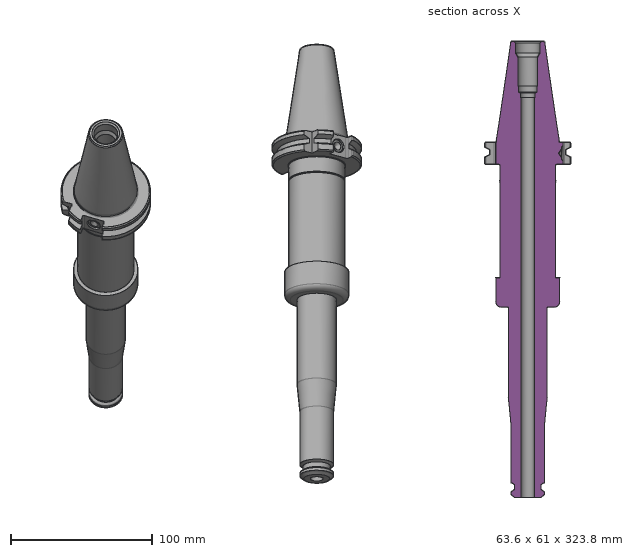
import cadquery as cq
import math


gauge_diameter = 44.45
taper_length = 68.4
taper_ratio = 7 / 24
taper_end_diameter = gauge_diameter - taper_length * taper_ratio
taper_end_chamfer = 0.8
taper_base_z = -1.0
taper_base_diameter = gauge_diameter - taper_base_z * taper_ratio
root_fillet = 0.6

flange_diameter = 63.55
flange_top_z = -3.2
flange_bottom_z = -19.1
flange_chamfer = 0.9
groove_floor_diameter = 56.25
groove_top_z = -6.7
groove_bottom_z = -14.0
groove_wall_height = 2.0

slot_width = 16.1
front_slot_floor = 25.0
rear_slot_floor = 22.8
slot_floor_fillet = 1.0
slot_rim_fillet = 0.75
notch_offset = 18.6

pocket_diameter = 10.0
pocket_inner_diameter = 9.0
pocket_depth = 1.0
pocket_hole_diameter = 6.0
pocket_cone_depth = 2.0
pocket_z = (flange_top_z + flange_bottom_z) / 2

neck_diameter = 40.0
neck_root_chamfer = 0.5
neck_line_z = -31.0
neck_line_width = 1.0
neck_line_depth = 0.25
collar_diameter = 45.6
collar_top_z = -99.4
collar_bottom_z = -120.4
collar_fillet = 4.0

shaft_diameter = 28.0
shaft_end_z = -184.4
tail_diameter = 24.0
tail_start_z = -204.8

total_length = 323.75
tip_z = taper_length - total_length
tip_groove_diameter = 19.5
tip_groove_top_z = -244.8
tip_groove_bottom_z = -250.8
tip_groove_bevel = 1.2
lip_edge_chamfer = 0.4
lip_bottom_z = -253.2
tip_diameter = 18.5

through_diameter = 9.0
coolant_diameter = 10.0
relief_diameter = 13.0
relief_depth = 36.0
drill_tip_half_angle = math.radians(59)
relief_tip_depth = (relief_diameter - coolant_diameter) / 2 / math.tan(drill_tip_half_angle)
thread_diameter = 13.84
thread_depth = 32.0
coolant_depth = 40.0
counterbore_diameter = 17.0
counterbore_depth = 8.6
mouth_diameter = 19.5
mouth_depth = (mouth_diameter - counterbore_diameter) / 2
seat_half_angle = math.radians(30)
seat_depth = (counterbore_diameter - thread_diameter) / 2 / math.tan(seat_half_angle)


def make_body():
    """Revolve the outer profile of the holder, from the taper end down to the tip."""
    taper_end_radius = taper_end_diameter / 2
    base_radius = taper_base_diameter / 2
    flange_radius = flange_diameter / 2
    groove_radius = groove_floor_diameter / 2
    neck_radius = neck_diameter / 2
    collar_radius = collar_diameter / 2
    shaft_radius = shaft_diameter / 2
    tail_radius = tail_diameter / 2
    tip_groove_radius = tip_groove_diameter / 2
    arc_reach = collar_fillet * math.sqrt(0.5)
    arc_middle = (
        collar_radius - collar_fillet + arc_reach,
        collar_bottom_z + collar_fillet - arc_reach,
    )

    profile = (
        cq.Workplane("XZ")
        .moveTo(0, taper_length)
        .lineTo(taper_end_radius - taper_end_chamfer, taper_length)
        .lineTo(taper_end_radius, taper_length - taper_end_chamfer)
        .lineTo(base_radius, taper_base_z)
        .lineTo(base_radius, flange_top_z + root_fillet)
        .radiusArc((base_radius + root_fillet, flange_top_z), -root_fillet)
        .lineTo(flange_radius - flange_chamfer, flange_top_z)
        .lineTo(flange_radius, flange_top_z - flange_chamfer)
        .lineTo(flange_radius, groove_top_z)
        .lineTo(groove_radius, groove_top_z - groove_wall_height)
        .lineTo(groove_radius, groove_bottom_z + groove_wall_height)
        .lineTo(flange_radius, groove_bottom_z)
        .lineTo(flange_radius, flange_bottom_z + flange_chamfer)
        .lineTo(flange_radius - flange_chamfer, flange_bottom_z)
        .lineTo(neck_radius + neck_root_chamfer, flange_bottom_z)
        .lineTo(neck_radius, flange_bottom_z - neck_root_chamfer)
        .lineTo(neck_radius, neck_line_z + neck_line_width / 2)
        .lineTo(neck_radius - neck_line_depth, neck_line_z)
        .lineTo(neck_radius, neck_line_z - neck_line_width / 2)
        .lineTo(neck_radius, collar_top_z)
        .lineTo(collar_radius, collar_top_z)
        .lineTo(collar_radius, collar_bottom_z + collar_fillet)
        .threePointArc(arc_middle, (collar_radius - collar_fillet, collar_bottom_z))
        .lineTo(shaft_radius, collar_bottom_z)
        .lineTo(shaft_radius, shaft_end_z)
        .lineTo(tail_radius, tail_start_z)
        .lineTo(tail_radius, tip_groove_top_z)
        .lineTo(tip_groove_radius, tip_groove_top_z - tip_groove_bevel)
        .lineTo(tip_groove_radius, tip_groove_bottom_z + tip_groove_bevel)
        .lineTo(tail_radius - lip_edge_chamfer, tip_groove_bottom_z)
        .lineTo(tail_radius, tip_groove_bottom_z - lip_edge_chamfer)
        .lineTo(tail_radius, lip_bottom_z)
        .lineTo(tail_radius - lip_edge_chamfer, lip_bottom_z - lip_edge_chamfer)
        .lineTo(tip_diameter / 2, tip_z)
        .lineTo(0, tip_z)
        .close()
    )
    return profile.revolve(360, (0, 0, 0), (0, 1, 0))


def make_bore():
    """Revolve the stepped central bore, open at both ends."""
    counterbore_radius = counterbore_diameter / 2
    profile = (
        cq.Workplane("XZ")
        .moveTo(0, taper_length)
        .lineTo(mouth_diameter / 2, taper_length)
        .lineTo(counterbore_radius, taper_length - mouth_depth)
        .lineTo(counterbore_radius, taper_length - counterbore_depth)
        .lineTo(thread_diameter / 2, taper_length - counterbore_depth - seat_depth)
        .lineTo(thread_diameter / 2, taper_length - thread_depth)
        .lineTo(relief_diameter / 2, taper_length - thread_depth)
        .lineTo(relief_diameter / 2, taper_length - relief_depth)
        .lineTo(coolant_diameter / 2, taper_length - relief_depth - relief_tip_depth)
        .lineTo(coolant_diameter / 2, taper_length - coolant_depth)
        .lineTo(through_diameter / 2, taper_length - coolant_depth)
        .lineTo(through_diameter / 2, tip_z)
        .lineTo(0, tip_z)
        .close()
    )
    return profile.revolve(360, (0, 0, 0), (0, 1, 0))


def make_drive_slot(floor_distance, side):
    """Slot through the flange on the +Y (side=1) or -Y (side=-1) face, with rounded floor and rim edges."""
    half_width = slot_width / 2
    flange_radius = flange_diameter / 2
    height = flange_top_z - flange_bottom_z

    round_x = half_width + slot_rim_fillet
    round_reach = flange_radius - slot_rim_fillet
    round_y = math.sqrt(round_reach**2 - round_x**2)
    tangent_x = round_x * flange_radius / round_reach
    tangent_y = round_y * flange_radius / round_reach

    slot = (
        cq.Workplane("XY", origin=(0, 0, flange_bottom_z))
        .moveTo(-half_width, floor_distance)
        .lineTo(half_width, floor_distance)
        .lineTo(half_width, round_y)
        .radiusArc((tangent_x, tangent_y), slot_rim_fillet)
        .lineTo(tangent_x, flange_radius)
        .lineTo(-tangent_x, flange_radius)
        .lineTo(-tangent_x, tangent_y)
        .radiusArc((-half_width, round_y), slot_rim_fillet)
        .close()
        .extrude(height)
    )
    floor_corners = cq.selectors.BoxSelector(
        (-half_width - slot_floor_fillet, floor_distance - slot_floor_fillet, flange_bottom_z),
        (half_width + slot_floor_fillet, floor_distance + slot_floor_fillet, flange_top_z),
    )
    slot = slot.edges("|Z").edges(floor_corners).fillet(slot_floor_fillet)
    return slot if side > 0 else slot.mirror("XZ")


def make_orientation_notch():
    """Square corner notch through the flange at -X, -Y."""
    notch_size = flange_diameter / 2 - notch_offset
    height = flange_top_z - flange_bottom_z
    corner = (-flange_diameter / 2, -flange_diameter / 2, flange_bottom_z)
    return cq.Workplane("XY").box(notch_size, notch_size, height, centered=False).translate(corner)


def make_pocket():
    """Round pocket in the front slot floor, ending in a conical bottom."""
    profile = (
        cq.Workplane("XY", origin=(0, 0, pocket_z))
        .moveTo(0, -front_slot_floor)
        .lineTo(pocket_diameter / 2, -front_slot_floor)
        .lineTo(pocket_inner_diameter / 2, -front_slot_floor + pocket_depth)
        .lineTo(pocket_hole_diameter / 2, -front_slot_floor + pocket_depth)
        .lineTo(0, -front_slot_floor + pocket_depth + pocket_cone_depth)
        .close()
    )
    return profile.revolve(360, (0, 0, 0), (0, 1, 0))


result = (
    make_body()
    .cut(make_bore())
    .cut(make_drive_slot(front_slot_floor, -1))
    .cut(make_drive_slot(rear_slot_floor, 1))
    .cut(make_orientation_notch())
    .cut(make_pocket())
)